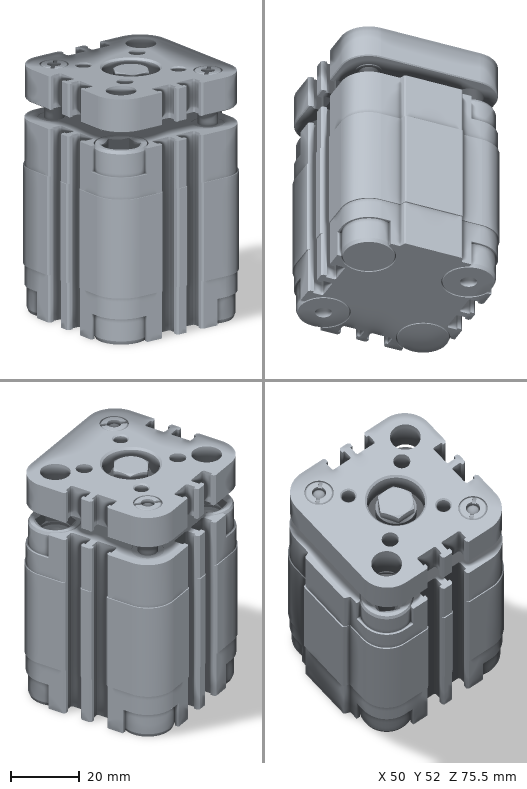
import cadquery as cq
import math

HOUSING_HEIGHT = 59.4
TOTAL_HEIGHT = 75.5
PLATE_BOTTOM = 65.2
SLEEVE_BOTTOM = 14.6
SLEEVE_TOP = 44.85

SLEEVE_HALF = 25.0
CAP_HALF = 24.7
PLATE_HALF_X = 24.7
PLATE_HALF_Y = 24.45
CORNER_RADIUS = 8.75
PLATE_CHAMFER = 0.3

RIB_HALF = 1.05
HEAD_HALF = 1.9
OPENING_HALF = 7.2
POCKET_HALF = 7.9
SLOT_FLOOR = 19.85
LIP_INNER = 23.0
SLOT_CHAMFER = 0.5
POCKET_CHAMFER = 0.4

RAIL_HEIGHT_OVER_SLEEVE = 2.05
RAIL_HEIGHT_OVER_CAP = 1.9
RAIL_BASE_HALF = 10.0
RAIL_TOP_HALF = 9.2
RAIL_ROUNDING = 0.6

CORNER_OFFSET = 16.0
BOSS_DIAMETER = 16.0
BOSS_CHAMFER = 0.45
LOWER_BOSS_CHAMFER_HEIGHT = 1.1
UPPER_BOSS_CHAMFER_HEIGHT = 0.9
BOSS_WALL = 12.9
LOWER_BOSS_HEIGHT = 8.1
UPPER_BOSS_HEIGHT = 7.9
SOCKET_ACROSS_FLATS = 10.5
SOCKET_DEPTH = 4.1
SOCKET_MOUTH = 12.75
SOCKET_MOUTH_SLOPE = 30
SOCKET_FLOOR_DIAMETER = 10.1
SOCKET_FLOOR_DEPTH = 5.0
BOLT_HOLE_DIAMETER = 5.0
BOLT_HOLE_MOUTH = 6.7
BOLT_MOUTH_DEPTH = 0.9

PIN_DIAMETER = 6.0
PIN_DEPTH = 7.55
PIN_COLLAR_DIAMETER = 8.0
PIN_COLLAR_DROP = 0.3
PIN_BUSH_DIAMETER = 9.6
PIN_BUSH_RECESS = 0.15
SCREW_DIAMETER = 8.5
SCREW_CHAMFER = 0.5
SCREW_SLOT_WIDTH = 1.2
SCREW_SLOT_DEPTH = 0.6
SCREW_SLOT_ANGLE = -45
SCREW_BORE = 4.15
SCREW_BORE_DEPTH = 1.5
STUD_TIP_DIAMETER = 3.1
STUD_TIP_HEIGHT = 0.5

ROD_DIAMETER = 12.0
ROD_DEPTH = 7.55
ROD_FLATS = 10.0
ROD_FLATS_BOTTOM = 60.55
HEX_ACROSS_FLATS = 10.0
HEX_TOP = 74.9
HEX_CROWN_DIAMETER = 9.8
HEX_CROWN_SLOPE = 30
HEX_TURN = 30
ROD_SHOULDER = 72.1

BORE_DIAMETER = 17.0
BORE_CHAMFER = 0.6
BORE_FLOOR = 68.7
ACCESS_HOLE_DIAMETER = 9.0
SMALL_HOLE_OFFSET = 9.9
SMALL_HOLE_DIAMETER = 5.0
THREAD_DIAMETER = 4.15

PIN_CORNERS = [0, 2]
BOSS_CORNERS = [1, 3]


def cylinder(diameter, bottom, top):
    return cq.Workplane("XY", origin=(0, 0, bottom)).circle(diameter / 2).extrude(top - bottom)


def cone(bottom_diameter, top_diameter, bottom, top):
    frustum = cq.Solid.makeCone(bottom_diameter / 2, top_diameter / 2, top - bottom)
    return cq.Workplane(frustum).translate((0, 0, bottom))


def at_corner(shape, quarter_turns, offset, z=0):
    """Move a shape from the origin out along the +X +Y diagonal, then turn it to its corner."""
    return shape.translate((offset, offset, z)).rotate((0, 0, 0), (0, 0, 1), 90 * quarter_turns)


def rounded_block(half_x, half_y, bottom, top):
    block = cq.Workplane("XY", origin=(0, 0, bottom)).rect(2 * half_x, 2 * half_y).extrude(top - bottom)
    return block.edges("|Z").fillet(CORNER_RADIUS)


def twin_slot(face, bottom, top):
    """Pair of T-slots in the -Y face, either side of a T-shaped rib."""
    half = [
        (HEAD_HALF - SLOT_CHAMFER, -face),
        (HEAD_HALF, -face + SLOT_CHAMFER),
        (HEAD_HALF, -LIP_INNER),
        (RIB_HALF, -LIP_INNER),
        (RIB_HALF, -SLOT_FLOOR - POCKET_CHAMFER),
        (RIB_HALF + POCKET_CHAMFER, -SLOT_FLOOR),
        (POCKET_HALF - POCKET_CHAMFER, -SLOT_FLOOR),
        (POCKET_HALF, -SLOT_FLOOR - POCKET_CHAMFER),
        (POCKET_HALF, -LIP_INNER),
        (OPENING_HALF, -LIP_INNER),
        (OPENING_HALF, -face + SLOT_CHAMFER),
        (OPENING_HALF + SLOT_CHAMFER, -face),
    ]
    slot = cq.Workplane("XY", origin=(0, 0, bottom)).polyline(half).close().extrude(top - bottom)
    return slot.union(slot.mirror("YZ"))


def slotted_block(half_x, half_y, bottom, top, chamfer=0):
    """Rounded block with twin slots in its -X, -Y and +X faces."""
    block = rounded_block(half_x, half_y, bottom, top)
    if chamfer:
        block = block.faces("<Z").chamfer(chamfer)
    for angle, face in ((0, half_y), (90, half_x), (-90, half_x)):
        block = block.cut(twin_slot(face, bottom, top).rotate((0, 0, 0), (0, 0, 1), angle))
    return block


def hexagonal_prism(across_flats, bottom, top):
    """Upright hexagonal prism with two flats facing -X and +X."""
    prism = cq.Workplane("XY", origin=(0, 0, bottom))
    prism = prism.polygon(6, across_flats / math.cos(math.pi / 6)).extrude(top - bottom)
    return prism.rotate((0, 0, 0), (0, 0, 1), HEX_TURN)


def rail(face, height, bottom, top):
    """Rail with sloping sides standing on the +Y face, rooted at the middle of the body."""
    outline = [
        (-RAIL_BASE_HALF, 0),
        (RAIL_BASE_HALF, 0),
        (RAIL_BASE_HALF, face),
        (RAIL_TOP_HALF, face + height),
        (-RAIL_TOP_HALF, face + height),
        (-RAIL_BASE_HALF, face),
    ]
    bar = cq.Workplane("XY", origin=(0, 0, bottom)).polyline(outline).close().extrude(top - bottom)
    return bar.faces(">Y").edges("|Z").fillet(RAIL_ROUNDING)


def boss(height, chamfer_height):
    """Upright round boss on the origin, with its chamfered end at the top."""
    shoulder = height - chamfer_height
    tip = BOSS_DIAMETER - 2 * BOSS_CHAMFER
    return cylinder(BOSS_DIAMETER, 0, shoulder).union(cone(BOSS_DIAMETER, tip, shoulder, height))


def boss_relief(height, chamfer_height):
    """Material removed around a boss on the origin: the outer corner and a ring beside the chamfer."""
    reach = SLEEVE_HALF - BOSS_WALL
    centre = BOSS_WALL + reach / 2 - CORNER_OFFSET
    corner = cq.Workplane("XY").center(centre, centre).rect(reach, reach).extrude(height)
    ring = cylinder(BOSS_DIAMETER, height - chamfer_height, height)
    return corner.union(ring).cut(boss(height, chamfer_height))


def hex_socket():
    """Chamfered hexagon socket, round floor and bolt hole, going down from the origin."""
    mouth_depth = SOCKET_MOUTH / 2 * math.tan(math.radians(SOCKET_MOUTH_SLOPE))
    socket = hexagonal_prism(SOCKET_ACROSS_FLATS, -SOCKET_DEPTH, 0)
    socket = socket.union(cone(0, SOCKET_MOUTH, -mouth_depth, 0))
    socket = socket.union(cylinder(SOCKET_FLOOR_DIAMETER, -SOCKET_FLOOR_DEPTH, 0))
    hole_mouth = cone(
        BOLT_HOLE_DIAMETER, BOLT_HOLE_MOUTH, -SOCKET_FLOOR_DEPTH - BOLT_MOUTH_DEPTH, -SOCKET_FLOOR_DEPTH
    )
    return socket.union(hole_mouth).union(cylinder(BOLT_HOLE_DIAMETER, -HOUSING_HEIGHT, 0))


def make_housing():
    body = slotted_block(CAP_HALF, CAP_HALF, 0, HOUSING_HEIGHT)
    body = body.union(slotted_block(SLEEVE_HALF, SLEEVE_HALF, SLEEVE_BOTTOM, SLEEVE_TOP))
    body = body.union(rail(CAP_HALF, RAIL_HEIGHT_OVER_CAP, 0, HOUSING_HEIGHT))
    body = body.union(rail(SLEEVE_HALF, RAIL_HEIGHT_OVER_SLEEVE, SLEEVE_BOTTOM, SLEEVE_TOP))
    lower_relief = boss_relief(LOWER_BOSS_HEIGHT, LOWER_BOSS_CHAMFER_HEIGHT).mirror("XY")
    upper_relief = boss_relief(UPPER_BOSS_HEIGHT, UPPER_BOSS_CHAMFER_HEIGHT)
    socket = hex_socket()
    bush_face = cylinder(PIN_BUSH_DIAMETER, HOUSING_HEIGHT - PIN_BUSH_RECESS, HOUSING_HEIGHT)
    pin_hole = cylinder(PIN_DIAMETER, HOUSING_HEIGHT - PIN_DEPTH, HOUSING_HEIGHT)
    for corner in PIN_CORNERS + BOSS_CORNERS:
        body = body.cut(at_corner(lower_relief, corner, CORNER_OFFSET, LOWER_BOSS_HEIGHT))
    for corner in BOSS_CORNERS:
        body = body.cut(at_corner(upper_relief, corner, CORNER_OFFSET, HOUSING_HEIGHT - UPPER_BOSS_HEIGHT))
        body = body.cut(at_corner(socket, corner, CORNER_OFFSET, HOUSING_HEIGHT))
    for corner in PIN_CORNERS:
        body = body.cut(at_corner(bush_face.union(pin_hole), corner, CORNER_OFFSET))
    return body.cut(cylinder(ROD_DIAMETER, HOUSING_HEIGHT - ROD_DEPTH, HOUSING_HEIGHT))


def make_rod():
    rod = cylinder(ROD_DIAMETER, HOUSING_HEIGHT - ROD_DEPTH, ROD_SHOULDER)
    flats_height = PLATE_BOTTOM - ROD_FLATS_BOTTOM
    flats = cq.Workplane("XY", origin=(0, 0, ROD_FLATS_BOTTOM))
    flats = flats.rect(ROD_DIAMETER, ROD_FLATS).extrude(flats_height)
    rod = rod.cut(cylinder(ROD_DIAMETER, ROD_FLATS_BOTTOM, PLATE_BOTTOM).cut(flats))
    hexagon = hexagonal_prism(HEX_ACROSS_FLATS, ROD_SHOULDER, HEX_TOP)
    crown_drop = (ROD_DIAMETER - HEX_CROWN_DIAMETER) / 2 * math.tan(math.radians(HEX_CROWN_SLOPE))
    crown = cone(ROD_DIAMETER, HEX_CROWN_DIAMETER, HEX_TOP - crown_drop, HEX_TOP)
    crown = crown.union(cylinder(ROD_DIAMETER, ROD_SHOULDER, HEX_TOP - crown_drop))
    return rod.union(hexagon.intersect(crown))


def screw_recess():
    """Chamfer ring, driver slot and bore that shape the screw head in the plate top."""
    slot_bottom = TOTAL_HEIGHT - SCREW_SLOT_DEPTH
    ring_bottom = TOTAL_HEIGHT - SCREW_CHAMFER
    bore_bottom = TOTAL_HEIGHT - SCREW_BORE_DEPTH
    head = cone(SCREW_DIAMETER, SCREW_DIAMETER - 2 * SCREW_CHAMFER, ring_bottom, TOTAL_HEIGHT)
    ring = cylinder(SCREW_DIAMETER, ring_bottom, TOTAL_HEIGHT).cut(head)
    slot = cq.Workplane("XY", origin=(0, 0, slot_bottom)).rect(SCREW_DIAMETER, SCREW_SLOT_WIDTH)
    slot = slot.extrude(SCREW_SLOT_DEPTH).rotate((0, 0, 0), (0, 0, 1), SCREW_SLOT_ANGLE)
    slot = slot.intersect(cylinder(SCREW_DIAMETER, slot_bottom, TOTAL_HEIGHT))
    stud_tip = cone(SCREW_BORE, STUD_TIP_DIAMETER, bore_bottom, bore_bottom + STUD_TIP_HEIGHT)
    bore = cylinder(SCREW_BORE, bore_bottom, TOTAL_HEIGHT).cut(stud_tip)
    return ring.union(slot).union(bore)


def guide_pin():
    pin = cylinder(PIN_DIAMETER, HOUSING_HEIGHT - PIN_DEPTH, PLATE_BOTTOM)
    return pin.union(cylinder(PIN_COLLAR_DIAMETER, PLATE_BOTTOM - PIN_COLLAR_DROP, PLATE_BOTTOM))


def chamfered_hole(diameter, bottom, chamfer):
    """Hole from the plate top down to the given height, chamfered at its mouth."""
    hole = cylinder(diameter, bottom, TOTAL_HEIGHT)
    return hole.union(cone(diameter, diameter + 2 * chamfer, TOTAL_HEIGHT - chamfer, TOTAL_HEIGHT))


def make_yoke():
    """Front plate with its guide pins, screws and piston rod."""
    yoke = slotted_block(PLATE_HALF_X, PLATE_HALF_Y, PLATE_BOTTOM, TOTAL_HEIGHT, PLATE_CHAMFER)
    yoke = yoke.cut(chamfered_hole(BORE_DIAMETER, BORE_FLOOR, BORE_CHAMFER))
    access_hole = cylinder(ACCESS_HOLE_DIAMETER, PLATE_BOTTOM, TOTAL_HEIGHT)
    plain_hole = cylinder(SMALL_HOLE_DIAMETER, PLATE_BOTTOM, TOTAL_HEIGHT)
    threaded_hole = chamfered_hole(THREAD_DIAMETER, PLATE_BOTTOM, (SMALL_HOLE_DIAMETER - THREAD_DIAMETER) / 2)
    for corner in BOSS_CORNERS:
        yoke = yoke.cut(at_corner(access_hole, corner, CORNER_OFFSET))
        yoke = yoke.cut(at_corner(plain_hole, corner, SMALL_HOLE_OFFSET))
    for corner in PIN_CORNERS:
        yoke = yoke.cut(at_corner(threaded_hole, corner, SMALL_HOLE_OFFSET))
        yoke = yoke.cut(at_corner(screw_recess(), corner, CORNER_OFFSET))
        yoke = yoke.union(at_corner(guide_pin(), corner, CORNER_OFFSET))
    return yoke.union(make_rod())


housing = make_housing()
yoke = make_yoke()
result = cq.Compound.makeCompound([housing.solids().val(), yoke.solids().val()])